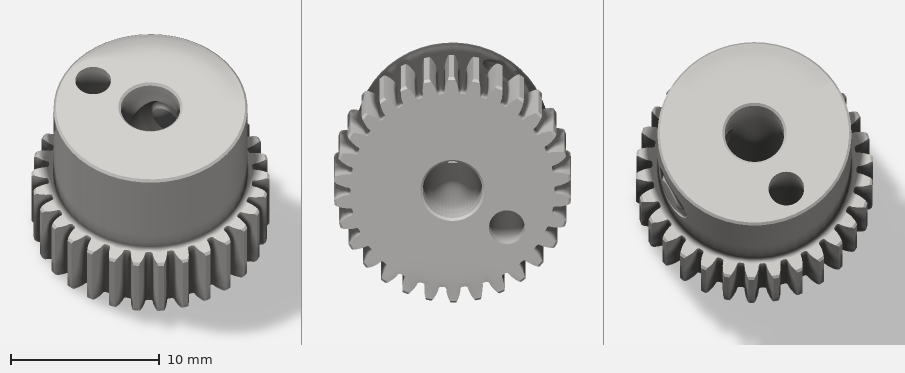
import cadquery as cq
import math

tooth_count = 30
outer_radius = 8.0
module = 2 * outer_radius / (tooth_count + 2)
pitch_radius = outer_radius - module
dedendum_factor = 1.25
root_radius = pitch_radius - dedendum_factor * module
pressure_angle = math.radians(20)
base_radius = pitch_radius * math.cos(pressure_angle)
flank_points = 5
root_fillet = (base_radius**2 - root_radius**2) / (2 * root_radius)

gear_height = 5.0
total_height = 12.0
hub_radius = 6.53
edge_chamfer = 0.16
hub_base_fillet = 0.16

bore_radius = 2.0
pin_hole_radius = 1.2
pin_hole_x = -4.5

screw_height = (gear_height + total_height) / 2
screw_radius = 1.38
screw_end_radius = 1.05
screw_chamfer = screw_radius - screw_end_radius
screw_inner_y = 2.06
screw_outer_y = hub_radius

mouth_radius = 1.94
mouth_taper = mouth_radius - screw_radius
inner_mouth_y = 1.85
outer_mouth_y = 6.24


def polar(radius, angle):
    return (radius * math.cos(angle), radius * math.sin(angle))


def involute(angle):
    return math.tan(angle) - angle


def half_tooth_angle(radius):
    """Half the angle that a tooth spans at a radius on its involute flank."""
    flank_angle = math.acos(base_radius / radius)
    return math.pi / (2 * tooth_count) + involute(pressure_angle) - involute(flank_angle)


def fillet_middle(centre, flank_angle, side):
    """Middle point of the root fillet on one side (-1 or 1) of a tooth."""
    fillet_centre_radius = root_radius + root_fillet
    fillet_turn = math.asin(root_fillet / fillet_centre_radius)
    fillet_angle = centre + side * (flank_angle + fillet_turn)
    x, y = polar(fillet_centre_radius, fillet_angle)
    facing = fillet_angle - side * (3 * math.pi / 4 + fillet_turn / 2)
    facing_x, facing_y = polar(root_fillet, facing)
    return (x + facing_x, y + facing_y)


def tooth_outline():
    """Closed outline of all the teeth, with one tooth centred on the Y axis."""
    pitch_angle = 2 * math.pi / tooth_count
    flank_step = (outer_radius - base_radius) / flank_points
    radii = [base_radius + i * flank_step for i in range(flank_points + 1)]
    base_angle = half_tooth_angle(base_radius)
    root_angle = base_angle + math.asin(root_fillet / (root_radius + root_fillet))
    first_centre = math.pi / 2
    outline = cq.Workplane("XY").moveTo(*polar(root_radius, first_centre - root_angle))
    for tooth in range(tooth_count):
        centre = first_centre + tooth * pitch_angle
        rising = [polar(r, centre - half_tooth_angle(r)) for r in radii]
        falling = [polar(r, centre + half_tooth_angle(r)) for r in reversed(radii)]
        falling_root = polar(root_radius, centre + root_angle)
        next_root = polar(root_radius, centre + pitch_angle - root_angle)
        outline = (
            outline.threePointArc(fillet_middle(centre, base_angle, -1), rising[0])
            .spline(rising[1:], includeCurrent=True)
            .threePointArc(polar(outer_radius, centre), falling[0])
            .spline(falling[1:], includeCurrent=True)
            .threePointArc(fillet_middle(centre, base_angle, 1), falling_root)
            .threePointArc(polar(root_radius, centre + pitch_angle / 2), next_root)
        )
    return outline.close()


def gear_rim():
    teeth = tooth_outline().extrude(gear_height)
    blank = cq.Workplane("XY").circle(outer_radius).extrude(gear_height)
    return teeth.intersect(blank.edges().chamfer(edge_chamfer))


def hub():
    """Hub through the full height, with a concave fillet where it meets the rim."""
    foot_radius = hub_radius + hub_base_fillet
    fillet_reach = hub_base_fillet * (1 - math.sqrt(0.5))
    return (
        cq.Workplane("XZ")
        .lineTo(foot_radius, 0)
        .lineTo(foot_radius, gear_height)
        .threePointArc(
            (hub_radius + fillet_reach, gear_height + fillet_reach),
            (hub_radius, gear_height + hub_base_fillet),
        )
        .lineTo(hub_radius, total_height - edge_chamfer)
        .lineTo(hub_radius - edge_chamfer, total_height)
        .lineTo(0, total_height)
        .close()
        .revolve(360, (0, 0), (0, 1))
    )


def bore():
    rim_radius = bore_radius + edge_chamfer
    return (
        cq.Workplane("XZ")
        .lineTo(rim_radius, 0)
        .lineTo(bore_radius, edge_chamfer)
        .lineTo(bore_radius, total_height - edge_chamfer)
        .lineTo(rim_radius, total_height)
        .lineTo(0, total_height)
        .close()
        .revolve(360, (0, 0), (0, 1))
    )


def pin_hole():
    return cq.Workplane("XY").center(pin_hole_x, 0).circle(pin_hole_radius).extrude(total_height)


def screw_hole():
    return (
        cq.Workplane("XY", origin=(0, 0, screw_height))
        .lineTo(mouth_radius, 0)
        .lineTo(mouth_radius, inner_mouth_y)
        .lineTo(screw_radius, inner_mouth_y + mouth_taper)
        .lineTo(screw_radius, outer_mouth_y - mouth_taper)
        .lineTo(mouth_radius, outer_mouth_y)
        .lineTo(mouth_radius, outer_radius)
        .lineTo(0, outer_radius)
        .close()
        .revolve(360, (0, 0), (0, 1))
    )


def gear():
    return gear_rim().union(hub()).cut(bore()).cut(pin_hole()).cut(screw_hole())


def set_screw():
    return (
        cq.Workplane("XY", origin=(0, 0, screw_height))
        .moveTo(0, screw_inner_y)
        .lineTo(screw_end_radius, screw_inner_y)
        .lineTo(screw_radius, screw_inner_y + screw_chamfer)
        .lineTo(screw_radius, screw_outer_y - screw_chamfer)
        .lineTo(screw_end_radius, screw_outer_y)
        .lineTo(0, screw_outer_y)
        .close()
        .revolve(360, (0, 0), (0, 1))
    )


result = cq.Compound.makeCompound([gear().val(), set_screw().val()])